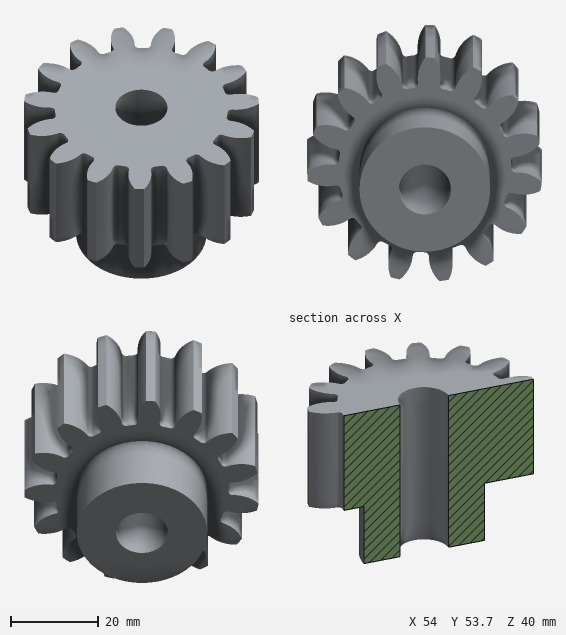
import cadquery as cq
import math

tooth_count = 15
tip_radius = 27.05
root_radius = 19.85
root_fillet = 1.0

flank_radius = 8.25
bulge_radius = 22.2
bulge_half_width = 2.65

gear_height = 25.0
hub_height = 15.0
hub_diameter = 30.0
bore_diameter = 12.0

first_tooth_angle = -90
tooth_pitch = 360 / tooth_count


def polar(radius, angle):
    """Point at a radius and an angle in degrees from +X."""
    return (radius * math.cos(math.radians(angle)), radius * math.sin(math.radians(angle)))


def triangle_angle(side_a, side_b, opposite):
    """Angle in degrees between side_a and side_b of a triangle."""
    cosine = (side_a**2 + side_b**2 - opposite**2) / (2 * side_a * side_b)
    return math.degrees(math.acos(cosine))


def point_towards(start, end, distance):
    """Point at a distance from start along the line to end."""
    fraction = distance / math.dist(start, end)
    return tuple(s + (e - s) * fraction for s, e in zip(start, end))


flank_center = (bulge_radius, bulge_half_width - flank_radius)
flank_center_distance = math.hypot(*flank_center)
flank_center_angle = math.degrees(math.atan2(flank_center[1], flank_center[0]))

tip_half_angle = flank_center_angle + triangle_angle(flank_center_distance, tip_radius, flank_radius)

fillet_center_distance = root_radius + root_fillet
fillet_half_angle = flank_center_angle + triangle_angle(
    flank_center_distance, fillet_center_distance, flank_radius + root_fillet
)
fillet_center = polar(fillet_center_distance, fillet_half_angle)

root_end = polar(root_radius, fillet_half_angle)
fillet_end = point_towards(fillet_center, flank_center, root_fillet)
tip_corner = polar(tip_radius, tip_half_angle)

fillet_chord_middle = tuple((a + b) / 2 for a, b in zip(root_end, fillet_end))
fillet_middle = point_towards(fillet_center, fillet_chord_middle, root_fillet)
flank_chord_middle = tuple((a + b) / 2 for a, b in zip(fillet_end, tip_corner))
flank_middle = point_towards(flank_center, flank_chord_middle, flank_radius)


def place(point, angle, side):
    """Turn a flank point to a tooth angle; side -1 mirrors it to the other flank."""
    x, y = point
    return polar(math.hypot(x, y), angle + side * math.degrees(math.atan2(y, x)))


def gear_outline():
    """Closed outline, counterclockwise, starting at the root before the first tooth."""
    outline = cq.Workplane("XY").workplane(offset=hub_height)
    outline = outline.moveTo(*place(root_end, first_tooth_angle, -1))
    for tooth in range(tooth_count):
        angle = first_tooth_angle + tooth * tooth_pitch
        outline = (
            outline
            .threePointArc(place(fillet_middle, angle, -1), place(fillet_end, angle, -1))
            .threePointArc(place(flank_middle, angle, -1), place(tip_corner, angle, -1))
            .threePointArc(polar(tip_radius, angle), place(tip_corner, angle, 1))
            .threePointArc(place(flank_middle, angle, 1), place(fillet_end, angle, 1))
            .threePointArc(place(fillet_middle, angle, 1), place(root_end, angle, 1))
            .threePointArc(
                polar(root_radius, angle + tooth_pitch / 2),
                place(root_end, angle + tooth_pitch, -1),
            )
        )
    return outline.close()


gear = gear_outline().extrude(gear_height)
hub = cq.Workplane("XY").circle(hub_diameter / 2).extrude(hub_height)
bore = cq.Workplane("XY").circle(bore_diameter / 2).extrude(hub_height + gear_height)

result = gear.union(hub).cut(bore)